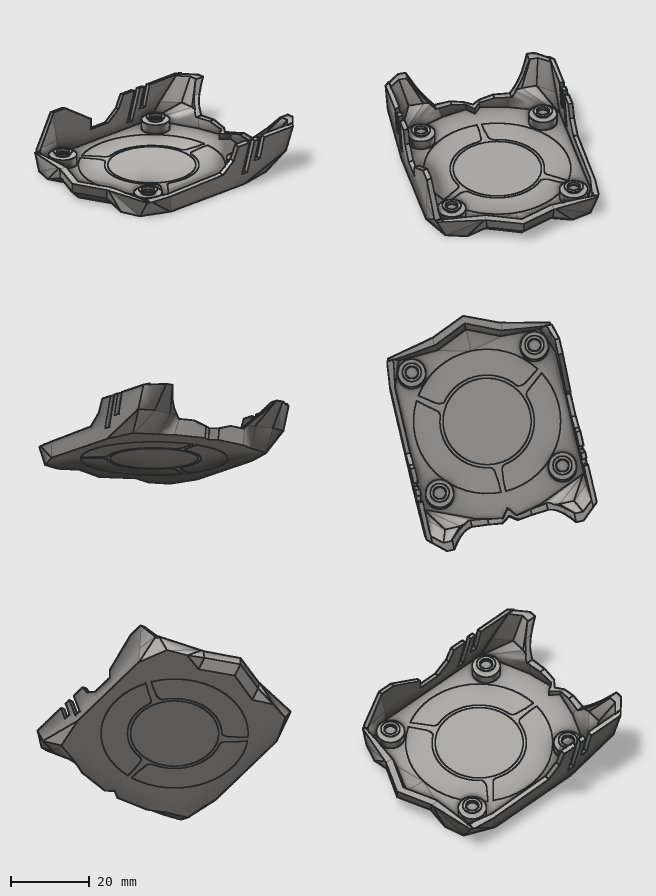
import cadquery as cq
import math

SIDE_X = 22.18
WALL = 1.2
INNER_X = SIDE_X - WALL
FLOOR_Z = 1.5
EAR_Z = 10.95
TOP_Z = 13.58
RIM_TILT = 0.3
RIM_MARGIN = 1.0
KNEE_Z = 5.0
INNER_KNEE_Z = 5.5
BLOCK_Z = TOP_Z + 1.0
REAR_Y = 32.33
TIP_Y = -27.45
CLEAR = 5.0

DISC_R = 22.4 / 2
BLADE_INNER_R = 12.0
BLADE_OUTER_R = 18.7

BOSS_PITCH = 16.0
BOSS_R = 7.17 / 2
BOSS_SHOULDER_Z = 4.0
BOSS_NECK_R = 1.75
BOSS_LIP_R = 2.4
BOSS_TOP_Z = 4.95
BOSS_HOLE_R = 3.2 / 2
BOSS_HOLE_DEPTH = BOSS_TOP_Z - BOSS_SHOULDER_Z

OUTER_BOTTOM = [
    (0, 25.0), (-2.0, 26.4), (-10.5, 25.0), (-14.0, 23.2), (-20.2, 20.9), (-20.3, 20.8), (-SIDE_X, 11.6),
    (-SIDE_X, -13.7), (-22.1, -13.9), (-19.0, -21.5), (-18.9, -21.53), (-13.8, -23.24), (-8.5, -23.6),
    (0, TIP_Y),
]
OUTER_KNEE = [
    (0, 25.5), (-2.0, 27.1), (-9.9, 26.6), (-13.0, 26.9), (-18.0, 27.3), (-22.1, 26.05), (-SIDE_X, 26.0),
    (-SIDE_X, -14.1), (-21.51, -20.7), (-21.5, -20.83), (-9.1, -23.56), (-9.0, -23.58), (-8.9, -23.6),
    (0, TIP_Y),
]
OUTER_EAR = [
    (0, 25.5), (-2.0, 27.1), (-9.9, 26.6), (-15.9, REAR_Y), (-17.8, REAR_Y), (-22.1, 28.45), (-SIDE_X, 28.38),
    (-SIDE_X, -14.6), (-21.51, -20.7), (-21.5, -20.83), (-9.1, -23.56), (-9.0, -23.58), (-8.9, -23.6),
    (0, TIP_Y),
]
INNER_FLOOR = [
    (0, 23.3), (-1.8, 25.6), (-8.5, 23.95), (-20.6, 18.76), (-20.8, 18.68), (-INNER_X, 18.6),
    (-INNER_X, -13.6), (-18.4, -20.35), (-13.8, -20.5), (-8.2, -20.75), (0, -24.1),
]
INNER_KNEE = [
    (0, 23.3), (-1.8, 25.7), (-9.7, 25.0), (-12.9, 25.7), (-16.8, 25.7), (-INNER_X, 22.0),
    (-INNER_X, -13.6), (-20.1, -20.3), (-13.8, -21.1), (-8.5, -21.9), (0, -25.8),
]
INNER_EAR = [
    (0, 23.3), (-1.8, 25.7), (-9.7, 25.0), (-16.2, 30.0), (-18.2, 30.0), (-INNER_X, 27.6),
    (-INNER_X, -14.6), (-20.1, -20.3), (-13.8, -21.1), (-8.5, -21.9), (0, -25.8),
]

REAR_SIDE_RIM = [(REAR_Y + CLEAR, EAR_Z), (9.5, EAR_Z), (7.86, 7.5), (4.23, 4.7)]
FRONT_CORNER = (-20.3, 4.1)
LEFT_RIM = REAR_SIDE_RIM + [
    (-1.7, 4.7), (-1.7, 7.6), (-10.6, TOP_Z - RIM_TILT), (-14.6, TOP_Z - RIM_TILT), FRONT_CORNER,
]
RIGHT_RIM = REAR_SIDE_RIM + [FRONT_CORNER]

SLOT_TOP_Z = EAR_Z + 1.0
SLOTS = [
    [(18.75, SLOT_TOP_Z), (17.0, 5.53), (15.1, 5.53), (16.95, SLOT_TOP_Z)],
    [(15.4, SLOT_TOP_Z), (12.6, 2.96), (10.8, 2.96), (13.6, SLOT_TOP_Z)],
]

REAR_RIM = [(0, 3.0), (-2.0, 3.0), (-5.6, 4.1), (-9.9, 4.0), (-13.75, 8.0), (-15.9, EAR_Z), (-INNER_X, EAR_Z)]
REAR_RIM_START_Y = 20.0

FRONT_RIM = [(0, 4.6), (-8.9, 4.6), (-20.9, 4.25), (-SIDE_X, 4.1)]

CHAMFER_Z = 2.2
CHAMFER_TIP_RUN = 2.37
CHAMFER_SIDE_RUN = 2.4
CHAMFER_OVERRUN = 0.2
CHAMFER_SIDE = (-8.6, -23.6)
CHAMFER_END = (-13.8, -23.24)
RAMP_START_Y = -18.75
RAMP_END_Y = -24.3
RAMP_RISE = 0.8
RAMP_SIDE = (-8.2, -20.75)
FADE = 0.02


def mirrored(half):
    """Close a half outline that starts and ends at X = 0."""
    return half + [(-x, y) for x, y in half[-2:0:-1]]


def level(half, z):
    points = [cq.Vector(x, y, z) for x, y in mirrored(half)]
    return cq.Wire.makePolygon(points, close=True)


def stack(*levels):
    """Ruled solid through successive (half outline, height) levels, one slab per pair."""
    body = cq.Workplane("XY")
    for (low, low_z), (high, high_z) in zip(levels, levels[1:]):
        slab = cq.Solid.makeLoft([level(low, low_z), level(high, high_z)], True)
        body = body.union(cq.Workplane(slab))
    return body


def section_loft(*sections):
    """Ruled solid through (X, [(Y, Z), ...]) sections."""
    wires = [
        cq.Wire.makePolygon([cq.Vector(x, y, z) for y, z in points], close=True)
        for x, points in sections
    ]
    return cq.Workplane(cq.Solid.makeLoft(wires, True))


def side_rim_cutter(rim, side):
    """Space above one side wall; its lower face rises towards the inside."""
    slope = RIM_TILT / WALL
    closing = [(rim[-1][0], BLOCK_Z + CLEAR), (rim[0][0], BLOCK_Z + CLEAR)]

    def section(x, rise):
        return side * x, [(y, z + rise) for y, z in rim + closing]

    return section_loft(
        section(SIDE_X + RIM_MARGIN, -slope * RIM_MARGIN),
        section(INNER_X - RIM_MARGIN, RIM_TILT + slope * RIM_MARGIN),
    )


def end_rim_cutter(half, start_y, end_y):
    """Space above a front or rear rim, swept along Y."""
    edge_x = half[-1][0]
    top = BLOCK_Z + CLEAR
    left = half[::-1]
    right = [(-x, z) for x, z in half[1:]]
    outline = [(edge_x, top)] + left + right + [(-edge_x, top)]
    cutter = cq.Workplane("XZ", origin=(0, end_y, 0)).polyline(outline).close()
    return cutter.extrude(end_y - start_y)


def tip_chamfer():
    """Cutter under the front tip, both halves."""
    def section(x, y, run, height):
        outside_y = y - run * CHAMFER_OVERRUN
        outside_z = height * (1 + CHAMFER_OVERRUN)
        return x, [(y + run, 0), (outside_y, outside_z), (outside_y, -CLEAR), (y + run, -CLEAR)]

    tip = section(0, TIP_Y, CHAMFER_TIP_RUN, CHAMFER_Z)
    side = section(*CHAMFER_SIDE, CHAMFER_SIDE_RUN, CHAMFER_Z)
    end = section(*CHAMFER_END, FADE, FADE)
    half = section_loft(tip, side).union(section_loft(side, end))
    return half.union(half.mirror("YZ"))


def tip_ramp():
    """Shallow rise of the floor behind the front tip."""
    def section(x, start_y, end_y, rise):
        return x, [(start_y, FLOOR_Z), (end_y, FLOOR_Z), (end_y, FLOOR_Z + rise)]

    side_x, side_y = RAMP_SIDE
    middle = section(0, RAMP_START_Y, RAMP_END_Y, RAMP_RISE)
    end = section(side_x, side_y, side_y - FADE, FADE)
    half = section_loft(middle, end)
    return half.union(half.mirror("YZ"))


def boss():
    """Half section (radius, height) turned about Z, with a blind screw hole."""
    outline = [
        (0, FLOOR_Z / 2), (BOSS_R, FLOOR_Z / 2), (BOSS_R, BOSS_SHOULDER_Z), (BOSS_NECK_R, BOSS_SHOULDER_Z),
        (BOSS_LIP_R, BOSS_TOP_Z), (BOSS_HOLE_R, BOSS_TOP_Z),
        (BOSS_HOLE_R, BOSS_TOP_Z - BOSS_HOLE_DEPTH), (0, BOSS_TOP_Z - BOSS_HOLE_DEPTH),
    ]
    return cq.Workplane("XZ").polyline(outline).close().revolve(360, (0, 0, 0), (0, 1, 0))


def hub_disc():
    return cq.Workplane("XY").circle(DISC_R).extrude(FLOOR_Z)


def on_circle(radius, degrees):
    angle = math.radians(degrees)
    return radius * math.cos(angle), radius * math.sin(angle)


def blade_window(start, end, middle_angle):
    """Ring sector; each end runs outer corner, knee, round start, round middle, inner point."""
    outline = cq.Workplane("XY").polyline(start[:3]).threePointArc(start[3], start[4])
    outline = outline.threePointArc(on_circle(BLADE_INNER_R, middle_angle), end[4])
    outline = outline.threePointArc(end[3], end[2]).lineTo(*end[1]).lineTo(*end[0])
    outline = outline.threePointArc(on_circle(BLADE_OUTER_R, middle_angle), start[0])
    return outline.close().extrude(FLOOR_Z)


REAR_ARM_END = [(0.63, 18.69), (0.63, 16.2), (0.95, 13.2), (1.2, 12.4), (1.9, 11.85)]
SIDE_ARM_UPPER_END = [(16.3, -9.17), (14.0, -7.25), (12.0, -5.6), (11.4, -4.9), (11.35, -3.9)]
SIDE_ARM_LOWER_END = [(15.55, -10.39), (13.2, -8.65), (11.9, -7.7), (10.8, -7.2), (9.6, -7.2)]


def flipped(end):
    return [(-x, y) for x, y in end]


def tray(inserts):
    """Hollow shell with trimmed rims, slots, bosses and windows for the fan inserts."""
    body = stack((OUTER_BOTTOM, 0), (OUTER_KNEE, KNEE_Z), (OUTER_EAR, EAR_Z), (OUTER_EAR, BLOCK_Z))
    cavity = stack(
        (INNER_FLOOR, FLOOR_Z), (INNER_KNEE, INNER_KNEE_Z), (INNER_EAR, EAR_Z), (INNER_EAR, BLOCK_Z + CLEAR)
    )
    body = body.cut(cavity).cut(tip_chamfer()).union(tip_ramp())
    body = body.cut(side_rim_cutter(LEFT_RIM, -1)).cut(side_rim_cutter(RIGHT_RIM, 1))
    body = body.cut(end_rim_cutter(REAR_RIM, REAR_RIM_START_Y, REAR_Y + CLEAR))
    body = body.cut(end_rim_cutter(FRONT_RIM, TIP_Y - CLEAR, FRONT_CORNER[0]))
    for slot in SLOTS:
        body = body.cut(cq.Workplane("YZ").polyline(slot).close().extrude(SIDE_X + CLEAR, both=True))
    for x in (-BOSS_PITCH, BOSS_PITCH):
        for y in (-BOSS_PITCH, BOSS_PITCH):
            body = body.union(boss().translate((x, y, 0)))
    for insert in inserts:
        body = body.cut(insert)
    return body


right_blade = blade_window(REAR_ARM_END, SIDE_ARM_UPPER_END, 30)
left_blade = right_blade.mirror("YZ")
front_blade = blade_window(SIDE_ARM_LOWER_END, flipped(SIDE_ARM_LOWER_END), 270)
disc = hub_disc()
inserts = [disc, right_blade, left_blade, front_blade]
housing = tray(inserts).solids()

result = cq.Compound.makeCompound([housing.val(), *[insert.val() for insert in inserts]])